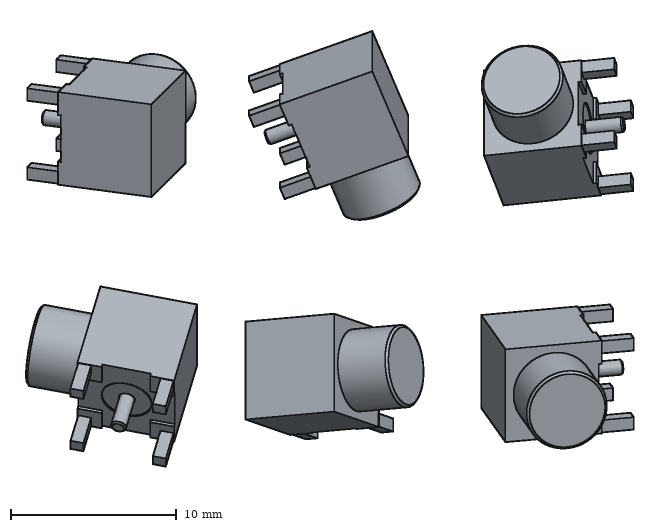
import cadquery as cq

cube_side = 6.0
half_side = cube_side / 2
foot_side = 1.5
foot_height = 0.2
peg_side = 0.8
peg_inset = 0.05
peg_length = 2.0
barrel_diameter = 5.0
barrel_length = 3.35
barrel_chamfer = 0.15

pocket_diameter = 3.1
insulator_diameter = 3.08
insulator_sink = 0.075

insulator_bore = 1.0
pin_diameter = 0.935
pin_chamfer = 0.1
pin_reach = 2.01

feet_x = -half_side
floor_x = feet_x + foot_height
insulator_x = floor_x + insulator_sink
pocket_end_x = 0.0
pin_tip_x = feet_x - pin_reach

corners = [(y, z) for y in (-1, 1) for z in (-1, 1)]


def box_along_x(start_x, end_x, side, centre_y, centre_z):
    """Square bar from start_x to end_x."""
    return (
        cq.Workplane("YZ", origin=(start_x, centre_y, centre_z))
        .rect(side, side)
        .extrude(end_x - start_x)
    )


def rod_along_x(start_x, end_x, diameter):
    """Round bar on the X axis from start_x to end_x."""
    return cq.Workplane("YZ", origin=(start_x, 0, 0)).circle(diameter / 2).extrude(end_x - start_x)


def make_barrel():
    """Round barrel from the cube's +Y face, chamfered at its free end."""
    return (
        cq.Workplane("XZ", origin=(0, half_side, 0))
        .circle(barrel_diameter / 2)
        .extrude(-barrel_length)
        .faces(">Y")
        .chamfer(barrel_chamfer)
    )


def make_housing():
    """Cube with feet, pegs and barrel, and a round pocket for the insulator."""
    housing = box_along_x(floor_x, half_side, cube_side, 0, 0)
    foot_offset = half_side - foot_side / 2
    peg_offset = half_side - peg_inset - peg_side / 2
    for y_sign, z_sign in corners:
        foot = box_along_x(feet_x, floor_x, foot_side, y_sign * foot_offset, z_sign * foot_offset)
        peg_y = y_sign * peg_offset
        peg_z = z_sign * peg_offset
        peg = box_along_x(feet_x - peg_length, feet_x, peg_side, peg_y, peg_z)
        housing = housing.union(foot).union(peg)
    pocket = rod_along_x(floor_x, pocket_end_x, pocket_diameter)
    return housing.union(make_barrel()).cut(pocket)


def make_insulator():
    """Disc resting on the bottom of the pocket, bored for the pin."""
    disc = rod_along_x(insulator_x, pocket_end_x, insulator_diameter)
    return disc.cut(rod_along_x(insulator_x, pocket_end_x, insulator_bore))


def make_pin():
    """Round pin from the bottom of the pocket, chamfered at its tip."""
    return rod_along_x(pin_tip_x, pocket_end_x, pin_diameter).faces("<X").chamfer(pin_chamfer)


housing = make_housing()
insulator = make_insulator()
pin = make_pin()

result = cq.Compound.makeCompound([housing.val(), insulator.val(), pin.val()])